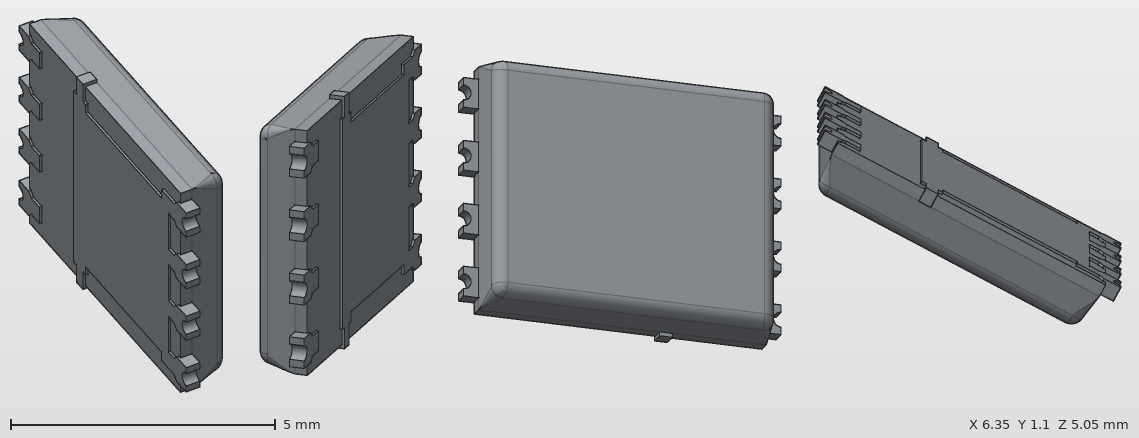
import cadquery as cq


housing_length = 5.75
housing_width = 4.9
standoff = 0.05
package_height = 1.1
draft_angle = 6
edge_radius = 0.25

sheet_thickness = 0.3
lead_count = 4
lead_pitch = 1.27
lead_overhang = 0.3
lead_width = 0.6
neck_width = 0.4
shoulder_length = 0.36
lead_length = 0.775
notch_radius = 0.15

pad_left = -1.1
tie_bar_width = 0.254
tie_bar_length = 5.054
tie_bar_margin = 0.1
recess_right = 2.24
recess_half_width = 1.9
pad_right = 2.5

lead_tip = housing_length / 2 + lead_overhang
taper_length = (lead_width - neck_width) / 2
neck_start = shoulder_length + taper_length
lead_positions = [(i - (lead_count - 1) / 2) * lead_pitch for i in range(lead_count)]
pad_half_width = lead_positions[-1] + neck_width / 2


def sheet_plane():
    """Sketch plane on Y = 0 with +X right and +Z up; positive extrusion goes to -Y."""
    return cq.Workplane("XZ")


def lead_blank(z, inner_end):
    """A left-hand lead centred at height z, from its notched tip to the distance inner_end inwards."""
    half_width = lead_width / 2
    half_neck = neck_width / 2
    outline = [
        (0, half_width),
        (shoulder_length, half_width),
        (neck_start, half_neck),
        (inner_end, half_neck),
        (inner_end, -half_neck),
        (neck_start, -half_neck),
        (shoulder_length, -half_width),
        (0, -half_width),
    ]
    plane = sheet_plane().center(-lead_tip, z)
    blank = plane.polyline(outline).close().extrude(-sheet_thickness)
    notch = plane.circle(notch_radius).extrude(-sheet_thickness)
    return blank.cut(notch)


def make_lead(z):
    """A separate lead on the -X side."""
    return lead_blank(z, lead_length)


def make_heat_pad():
    """Pad with a tie bar across the package and a row of leads on its +X side."""
    bar_left = pad_left + tie_bar_margin
    bar_right = bar_left + tie_bar_width
    step_right = bar_right + tie_bar_margin
    upper_outline = [
        (pad_left, 0),
        (pad_left, pad_half_width),
        (bar_left, pad_half_width),
        (bar_left, tie_bar_length / 2),
        (bar_right, tie_bar_length / 2),
        (bar_right, pad_half_width),
        (step_right, pad_half_width),
        (step_right, recess_half_width),
        (recess_right, recess_half_width),
        (recess_right, pad_half_width),
        (pad_right, pad_half_width),
        (pad_right, 0),
    ]
    upper_half = sheet_plane().polyline(upper_outline).close().extrude(-sheet_thickness)
    pad = upper_half.union(upper_half.mirror("XY"))
    for z in lead_positions:
        lead = lead_blank(z, lead_tip - recess_right).mirror("YZ")
        pad = pad.union(lead)
    return pad.clean()


def round_cap(cap):
    """Round the outer edges; the corner rounding grows from nothing at the parting line."""
    solid = cap.val()
    fillet = cq.occ_impl.shapes.BRepFilletAPI_MakeFillet(solid.wrapped)
    for edge in cap.faces(">Y").edges().vals():
        fillet.Add(edge_radius, edge.wrapped)
    for edge in cap.edges("not #Y").vals():
        if edge.startPoint().y < edge.endPoint().y:
            fillet.Add(0, edge_radius, edge.wrapped)
        else:
            fillet.Add(edge_radius, 0, edge.wrapped)
    return cq.Workplane(cq.Shape.cast(fillet.Shape()).Solids()[0])


def make_housing(inserts):
    """Straight-sided base and drafted cap, with pockets where the metal inserts are moulded in."""
    base = sheet_plane().workplane(offset=-standoff).rect(housing_length, housing_width)
    base = base.extrude(standoff - sheet_thickness)
    cap = sheet_plane().workplane(offset=-sheet_thickness).rect(housing_length, housing_width)
    cap = cap.extrude(sheet_thickness - package_height, taper=draft_angle)
    housing = base.union(round_cap(cap))
    for insert in inserts:
        housing = housing.cut(insert)
    return housing


leads = [make_lead(z) for z in lead_positions]
heat_pad = make_heat_pad()
housing = make_housing([*leads, heat_pad])

result = cq.Compound.makeCompound([housing.val(), heat_pad.val(), *[lead.val() for lead in leads]])